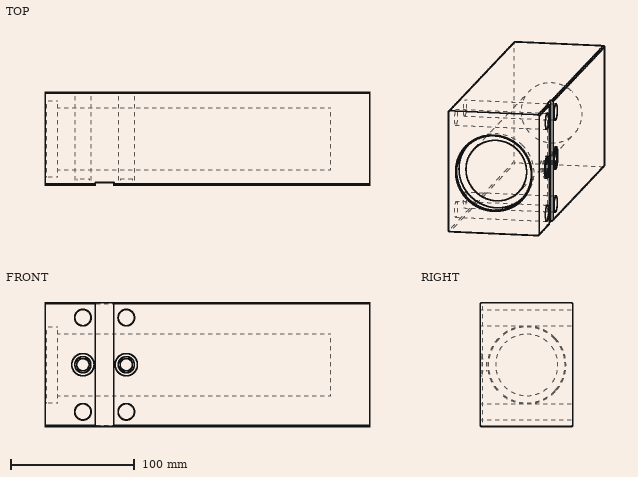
import cadquery as cq

LENGTH = 262.0
WIDTH = 75.0
HEIGHT = 100.0
EDGE_CHAMFER = 1.0

BORE_DIAMETER = 50.0
END_WALL = 32.0
MOUTH_DIAMETER = 61.5
MOUTH_DEPTH = 10.0
MOUTH_CHAMFER = 0.75

STATION_SPACING = 35.0
FIRST_STATION = 30.5
STATIONS = (FIRST_STATION, FIRST_STATION + STATION_SPACING)

BOLT_DIAMETER = 13.0
BOLT_SPACING = 76.0

SLOT_WIDTH = 15.0
SLOT_DEPTH = 2.0
SLOT_CENTER = FIRST_STATION + STATION_SPACING / 2

PORT_DIAMETER = 10.0
PORT_DEPTH = 5.0
GROOVE_INNER_DIAMETER = 13.0
GROOVE_OUTER_DIAMETER = 18.0
GROOVE_DEPTH = 1.5

FRONT_Y = -WIDTH / 2


def make_block():
    block = cq.Workplane("XY").box(LENGTH, WIDTH, HEIGHT, centered=(False, True, True))
    return block.edges("|X").chamfer(EDGE_CHAMFER)


def make_bore():
    """Stepped cavity opening at X = 0, revolved about the X axis."""
    bore_radius = BORE_DIAMETER / 2
    mouth_radius = MOUTH_DIAMETER / 2
    bore_end = LENGTH - END_WALL
    profile = (
        cq.Workplane("XY")
        .polyline([
            (0, 0),
            (0, mouth_radius + MOUTH_CHAMFER),
            (MOUTH_CHAMFER, mouth_radius),
            (MOUTH_DEPTH, mouth_radius),
            (MOUTH_DEPTH, bore_radius),
            (bore_end, bore_radius),
            (bore_end, 0),
        ])
        .close()
    )
    return profile.revolve(360, (0, 0, 0), (1, 0, 0))


def cylinder_along_y(x, z, diameter, depth):
    """Cylinder entering the block from its -Y face."""
    start = cq.Vector(x, FRONT_Y, z)
    return cq.Solid.makeCylinder(diameter / 2, depth, start, cq.Vector(0, 1, 0))


def make_port(x):
    """Flat-bottomed port hole together with the seal groove around it."""
    hole = cylinder_along_y(x, 0, PORT_DIAMETER, PORT_DEPTH)
    groove_disc = cylinder_along_y(x, 0, GROOVE_OUTER_DIAMETER, GROOVE_DEPTH)
    collar = cylinder_along_y(x, 0, GROOVE_INNER_DIAMETER, GROOVE_DEPTH)
    return cq.Workplane(groove_disc).cut(cq.Workplane(collar)).add(hole).combine()


def make_slot():
    return cq.Workplane("XY").box(SLOT_WIDTH, 2 * SLOT_DEPTH, HEIGHT).translate((SLOT_CENTER, FRONT_Y, 0))


result = make_block().cut(make_bore()).cut(make_slot())
for station in STATIONS:
    result = result.cut(make_port(station))
    for bolt_z in (-BOLT_SPACING / 2, BOLT_SPACING / 2):
        result = result.cut(cylinder_along_y(station, bolt_z, BOLT_DIAMETER, WIDTH))